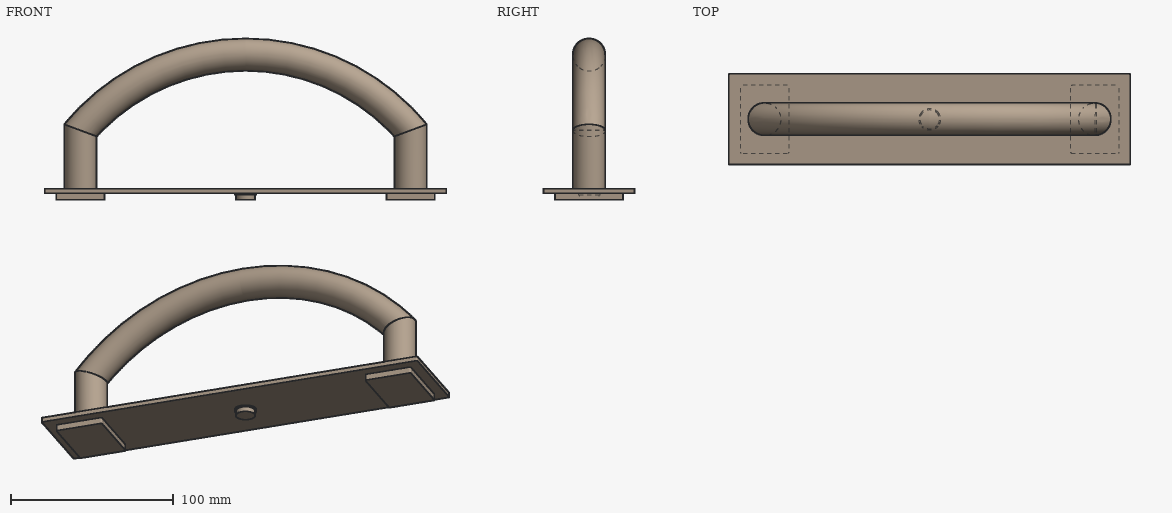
import cadquery as cq
import math

plate_length = 247.2
plate_width = 56.0
plate_thickness = 3.0
corner_radius = 1.0

pad_length = 30.0
pad_width = 42
pad_height = 4.0
boss_diameter = 11.9
collar_diameter = 13.3
collar_height = 0.7

total_height = 99.4
bar_diameter = 20.0
post_offset = 101.5
joint_height = 42.8

plate_bottom = pad_height
plate_top = plate_bottom + plate_thickness
bar_radius = bar_diameter / 2

apex_height = total_height - bar_radius
arch_rise = apex_height - joint_height
arch_radius = (post_offset**2 + arch_rise**2) / (2 * arch_rise)
arch_center_height = apex_height - arch_radius

tangent_angle = math.asin(post_offset / arch_radius)
mitre_slope = math.tan((math.pi / 2 - tangent_angle) / 2)
mitre_meeting_height = joint_height - mitre_slope * post_offset


def rounded_block(length, width, height, x, bottom):
    block = cq.Workplane("XY").box(length, width, height, centered=(True, True, False))
    return block.edges("|Z").fillet(corner_radius).translate((x, 0, bottom))


def disc(diameter, height, x, bottom):
    return cq.Workplane("XY").circle(diameter / 2).extrude(height).translate((x, 0, bottom))


def space_above_mitres():
    """V-shaped prism bounded below by the two mitre planes."""
    half_span = plate_length / 2
    edge_height = mitre_meeting_height + mitre_slope * half_span
    outline = [
        (0, mitre_meeting_height),
        (half_span, edge_height),
        (half_span, total_height + bar_radius),
        (-half_span, total_height + bar_radius),
        (-half_span, edge_height),
    ]
    return cq.Workplane("XZ").polyline(outline).close().extrude(plate_width / 2, both=True)


def arch(upper_space):
    ring = cq.Solid.makeTorus(
        arch_radius, bar_radius, cq.Vector(0, 0, arch_center_height), cq.Vector(0, 1, 0)
    )
    return cq.Workplane("XY").add(ring).intersect(upper_space)


def post(x, upper_space):
    return disc(bar_diameter, apex_height - plate_top, x, plate_top).cut(upper_space)


upper_space = space_above_mitres()
result = rounded_block(plate_length, plate_width, plate_thickness, 0, plate_bottom)
result = result.union(arch(upper_space))
for x in (-post_offset, post_offset):
    result = result.union(post(x, upper_space))
    result = result.union(rounded_block(pad_length, pad_width, pad_height, x, 0))

result = result.union(disc(boss_diameter, pad_height, 0, 0))
result = result.union(disc(collar_diameter, collar_height, 0, plate_bottom - collar_height))